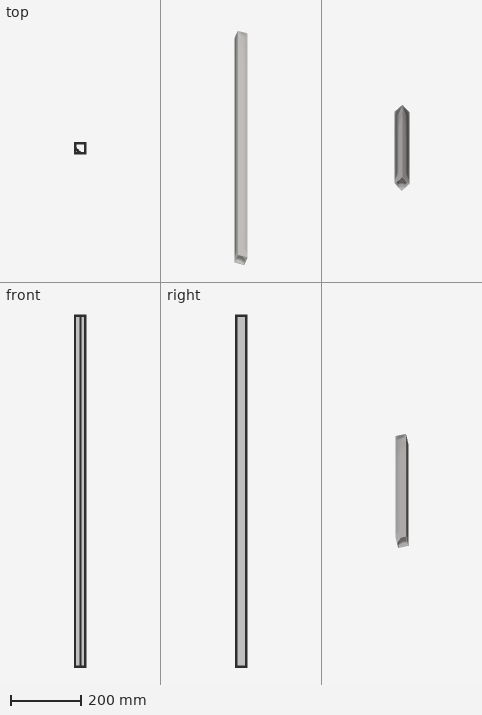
import cadquery as cq

side = 30.0
length = 1000.0
wall = 1.25
gusset_leg = 13.75

outer = side / 2
inner = outer - wall
gusset_end = gusset_leg - inner


def extrude_profile(points):
    return cq.Workplane("XY").polyline(points).close().extrude(length)


def make_base_angle():
    return extrude_profile([
        (-outer, -outer),
        (outer, -outer),
        (outer, -inner),
        (gusset_end, -inner),
        (-inner, gusset_end),
        (-inner, outer),
        (-outer, outer),
    ])


def make_cover_angle():
    return extrude_profile([
        (outer, outer),
        (-inner, outer),
        (-inner, inner),
        (inner, inner),
        (inner, -inner),
        (outer, -inner),
    ])


base_angle = make_base_angle()
cover_angle = make_cover_angle()

result = cq.Compound.makeCompound([base_angle.val(), cover_angle.val()])